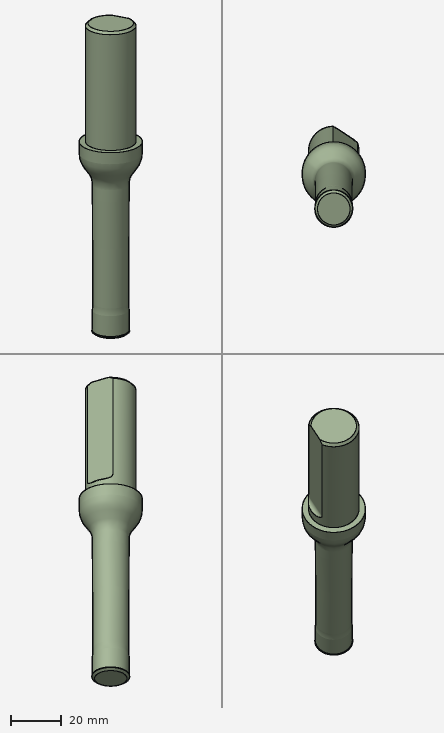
import cadquery as cq

TOTAL_LENGTH = 131.0
SHANK_LENGTH = 50.0
FLANGE_THICKNESS = 5.0
TAPER_LENGTH = 13.0
NECK_LENGTH = 5.1
RELIEF_BLEND_LENGTH = 20.0
TIP_HEIGHT = 1.2
TIP_EDGE_HEIGHT = 0.8
GROOVE_BOTTOM_Z = 9.7
GROOVE_TOP_Z = 12.8

SHANK_BASE_Z = TOTAL_LENGTH - SHANK_LENGTH
FLANGE_BASE_Z = SHANK_BASE_Z - FLANGE_THICKNESS
NECK_TOP_Z = FLANGE_BASE_Z - TAPER_LENGTH
NECK_BASE_Z = NECK_TOP_Z - NECK_LENGTH
RELIEF_TOP_Z = NECK_BASE_Z - RELIEF_BLEND_LENGTH

SHANK_RADIUS = 20.0 / 2
FLANGE_RADIUS = 25.0 / 2
NECK_RADIUS = 14.7 / 2
RELIEF_RADIUS = 14.4 / 2
GROOVE_RADIUS = 14.3 / 2
TIP_EDGE_RADIUS = 15.0 / 2
TIP_FACE_RADIUS = 12.8 / 2

SHANK_CHAMFER = 1.0

FLAT_OFFSET = 8.1
FLAT_BASE_Z = SHANK_BASE_Z + 3.8
FLAT_FILLET = SHANK_RADIUS - FLAT_OFFSET

AXIAL_DOWN = (0, -1)
AXIS_START = (0, 0, 0)
AXIS_END = (0, 1, 0)


def revolve_profile(profile):
    """Revolve a closed (radius, height) profile about the tool axis."""
    return profile.close().revolve(360, AXIS_START, AXIS_END)


def blend_to(profile, *points):
    """Continue the profile down a smooth curve that is axial at both ends."""
    return profile.spline(list(points), tangents=[AXIAL_DOWN, AXIAL_DOWN], includeCurrent=True)


def make_turned_body():
    """Shank, flange, tapered neck, relieved stem and shallow groove."""
    profile = (
        cq.Workplane("XZ")
        .moveTo(0, TIP_HEIGHT)
        .lineTo(0, TOTAL_LENGTH)
        .lineTo(SHANK_RADIUS - SHANK_CHAMFER, TOTAL_LENGTH)
        .lineTo(SHANK_RADIUS, TOTAL_LENGTH - SHANK_CHAMFER)
        .lineTo(SHANK_RADIUS, SHANK_BASE_Z)
        .lineTo(FLANGE_RADIUS, SHANK_BASE_Z)
        .lineTo(FLANGE_RADIUS, FLANGE_BASE_Z)
    )
    profile = blend_to(profile, (NECK_RADIUS, NECK_TOP_Z))
    profile = profile.lineTo(NECK_RADIUS, NECK_BASE_Z)
    profile = blend_to(profile, (RELIEF_RADIUS, RELIEF_TOP_Z))
    profile = profile.lineTo(RELIEF_RADIUS, GROOVE_TOP_Z)
    groove_middle_z = (GROOVE_TOP_Z + GROOVE_BOTTOM_Z) / 2
    profile = blend_to(profile, (GROOVE_RADIUS, groove_middle_z), (NECK_RADIUS, GROOVE_BOTTOM_Z))
    return revolve_profile(profile.lineTo(NECK_RADIUS, TIP_HEIGHT))


def make_flat_cutter():
    """Volume beyond the clamping flat, with a rounded lower inner corner."""
    return (
        cq.Workplane("YZ")
        .moveTo(FLAT_OFFSET, TOTAL_LENGTH)
        .lineTo(FLAT_OFFSET, FLAT_BASE_Z + FLAT_FILLET)
        .radiusArc((SHANK_RADIUS, FLAT_BASE_Z), -FLAT_FILLET)
        .lineTo(FLANGE_RADIUS, FLAT_BASE_Z)
        .lineTo(FLANGE_RADIUS, TOTAL_LENGTH)
        .close()
        .extrude(SHANK_RADIUS, both=True)
    )


def make_holder():
    return make_turned_body().cut(make_flat_cutter())


def make_cutting_tip():
    """Thin disc on the end of the holder, widest at its cutting edge."""
    profile = (
        cq.Workplane("XZ")
        .lineTo(TIP_FACE_RADIUS, 0)
        .lineTo(TIP_EDGE_RADIUS, TIP_EDGE_HEIGHT)
        .lineTo(NECK_RADIUS, TIP_HEIGHT)
        .lineTo(0, TIP_HEIGHT)
    )
    return revolve_profile(profile)


holder = make_holder()
cutting_tip = make_cutting_tip()

result = cq.Compound.makeCompound([holder.val(), cutting_tip.val()])